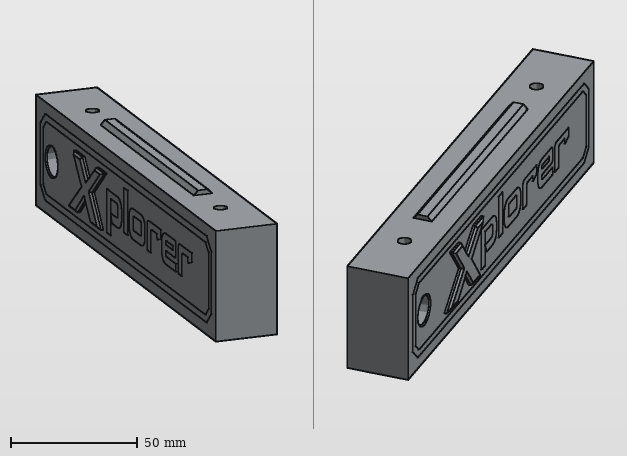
import cadquery as cq
import math

LENGTH = 193.3
DEPTH = 26.0
HEIGHT = 46.0

RAIL_LENGTH = 100.0
RAIL_BASE = 8.0
RAIL_CREST = 4.3
RAIL_RISE = 2.0

CROSS_HOLE_DIAMETER = 12.2
CROSS_HOLE_CHAMFER = 0.5
CROSS_HOLE_X = 16.8
SCREW_HOLE_DIAMETER = 5.5
SCREW_HOLE_SPACING = 137.5

MID_DEPTH = DEPTH / 2
MID_HEIGHT = HEIGHT / 2

POCKET_DEPTH = 5.0
POCKET_MARGIN = 5.0
POCKET_CORNER = 5.0
FRAME_WIDTH = 2.9

X_PROUD = 2.0
X_CHAMFER = 1.0
CAPITAL_LINE = 35.5
X_LOWER_CROTCH = 19.3
X_WAIST = 23.8
X_UPPER_CROTCH = 28.0

INLAY_DEPTH = 2.0
DESCENDER_LINE = 11.0
BASELINE = 16.5
X_HEIGHT_LINE = 29.2
ASCENDER_LINE = 35.0
COUNTER_FOOT = 20.3
COUNTER_TOP = 26.3
STEM = 4.0
BOWL_RADIUS = 4.3
COUNTER_RADIUS = 0.8

P_LEFT = 76.4
P_WIDTH = 15.7
P_COUNTER_RADIUS = 1.4
P_BOWL_JOINT = 19.7
P_BOWL_SLANT = 1.4

L_LEFT = 94.3

O_LEFT = 100.1
O_WIDTH = 17.0
O_LEFT_STROKE = 4.5

R_LEFTS = [119.5, 152.7]
R_WIDTH = 14.5
R_SHOULDER_RADIUS = 2.0
R_ARMPIT_RADIUS = 1.0
R_TIP_WIDTH = 3.9
R_TIP_SPLAY = 0.2
R_TIP_FOOT = 23.8
R_TIP_RIGHT_FOOT = 25.3

E_LEFT = 135.1
E_WIDTH = 15.3
E_CORNER_RADIUS = 1.2
E_ARM_TOP = 19.7
E_BAR_FOOT = 22.0
E_BAR_TOP = 24.5
E_COUNTER_WIDTH = 8.0


def front_plane(y):
    """Workplane parallel to the front face at depth y; it extrudes toward -Y."""
    return cq.Workplane("XZ", origin=(0, y, 0))


def rounded_outline(plane, corners):
    """Closed outline through (x, z, radius) corners, each rounded by a tangent arc."""
    sketch = None
    count = len(corners)
    for i, (x, z, radius) in enumerate(corners):
        corner = cq.Vector(x, z)
        before = cq.Vector(*corners[i - 1][:2]) - corner
        after = cq.Vector(*corners[(i + 1) % count][:2]) - corner
        before = before.normalized()
        after = after.normalized()
        half_angle = before.getAngle(after) / 2
        setback = radius / math.tan(half_angle)
        start = corner + before * setback
        sketch = plane.moveTo(start.x, start.y) if sketch is None else sketch.lineTo(start.x, start.y)
        if radius > 0:
            to_middle = radius / math.sin(half_angle) - radius
            middle = corner + (before + after).normalized() * to_middle
            end = corner + after * setback
            sketch = sketch.threePointArc((middle.x, middle.y), (end.x, end.y))
    return sketch.close()


def inlay(corners):
    """Solid of an outline, from the inlay floor to the front face."""
    return rounded_outline(front_plane(INLAY_DEPTH), corners).extrude(INLAY_DEPTH)


def rectangle(left, foot, right, top, right_radius=0.0, left_radius=0.0):
    """Corners of a rectangle, with one radius for its right corners and one for its left."""
    return [
        (left, foot, left_radius),
        (right, foot, right_radius),
        (right, top, right_radius),
        (left, top, left_radius),
    ]


def make_octagon(inset):
    """Eight-sided slab whose sides lie a given inset inside the pocket outline."""
    margin = POCKET_MARGIN + inset
    corner = POCKET_CORNER - inset * (2 - math.sqrt(2))
    slab = cq.Workplane("XY").box(
        LENGTH - 2 * margin, POCKET_DEPTH, HEIGHT - 2 * margin, centered=(True, False, True)
    )
    return slab.edges("|Y").chamfer(corner).translate((LENGTH / 2, 0, MID_HEIGHT))


def make_cross_hole():
    return front_plane(DEPTH).center(CROSS_HOLE_X, MID_HEIGHT).circle(CROSS_HOLE_DIAMETER / 2).extrude(DEPTH)


def make_frame():
    return make_octagon(0).cut(make_octagon(FRAME_WIDTH))


def make_raised_x():
    """Slanted X standing on the front face, its front edges chamfered."""
    corners = [
        (37.7, DESCENDER_LINE),
        (47.5, DESCENDER_LINE),
        (56.5, X_LOWER_CROTCH),
        (63.0, DESCENDER_LINE),
        (72.5, DESCENDER_LINE),
        (62.8, X_WAIST),
        (76.2, CAPITAL_LINE),
        (67.5, CAPITAL_LINE),
        (58.4, X_UPPER_CROTCH),
        (52.5, CAPITAL_LINE),
        (43.3, CAPITAL_LINE),
        (52.5, X_WAIST),
    ]
    letter = front_plane(0).polyline(corners).close().extrude(X_PROUD)
    return letter.faces("<Y").edges().chamfer(X_CHAMFER)


def make_p():
    right = P_LEFT + P_WIDTH
    stem_right = P_LEFT + STEM
    letter = inlay([
        (P_LEFT, DESCENDER_LINE, 0),
        (stem_right, DESCENDER_LINE, 0),
        (stem_right, P_BOWL_JOINT, 0),
        (stem_right + P_BOWL_SLANT, BASELINE, 0),
        (right, BASELINE, BOWL_RADIUS),
        (right, X_HEIGHT_LINE, BOWL_RADIUS),
        (P_LEFT, X_HEIGHT_LINE, 0),
    ])
    return letter.cut(inlay(rectangle(stem_right, COUNTER_FOOT, right - STEM, COUNTER_TOP, P_COUNTER_RADIUS)))


def make_l():
    return inlay(rectangle(L_LEFT, BASELINE, L_LEFT + STEM, ASCENDER_LINE))


def make_o():
    right = O_LEFT + O_WIDTH
    letter = inlay(rectangle(O_LEFT, BASELINE, right, X_HEIGHT_LINE, BOWL_RADIUS, BOWL_RADIUS))
    counter = rectangle(
        O_LEFT + O_LEFT_STROKE, COUNTER_FOOT, right - STEM, COUNTER_TOP, COUNTER_RADIUS, COUNTER_RADIUS
    )
    return letter.cut(inlay(counter))


def make_r(left):
    right = left + R_WIDTH
    tip_left = right - R_TIP_WIDTH
    stem_right = left + STEM
    return inlay([
        (left, BASELINE, 0),
        (stem_right, BASELINE, 0),
        (stem_right, COUNTER_TOP, R_ARMPIT_RADIUS),
        (tip_left - R_TIP_SPLAY, COUNTER_TOP, 0),
        (tip_left, R_TIP_FOOT, 0),
        (right, R_TIP_RIGHT_FOOT, 0),
        (right, X_HEIGHT_LINE, 0),
        (left, X_HEIGHT_LINE, R_SHOULDER_RADIUS),
    ])


def make_e():
    right = E_LEFT + E_WIDTH
    inner = E_LEFT + STEM
    letter = inlay([
        (E_LEFT, BASELINE, BOWL_RADIUS),
        (right, BASELINE, 0),
        (right, E_ARM_TOP, 0),
        (inner, E_ARM_TOP, COUNTER_RADIUS),
        (inner, E_BAR_FOOT, COUNTER_RADIUS),
        (right, E_BAR_FOOT, E_CORNER_RADIUS),
        (right, X_HEIGHT_LINE, E_CORNER_RADIUS),
        (E_LEFT, X_HEIGHT_LINE, BOWL_RADIUS),
    ])
    counter_right = inner + E_COUNTER_WIDTH
    return letter.cut(inlay(rectangle(inner, E_BAR_TOP, counter_right, COUNTER_TOP, 0, COUNTER_RADIUS)))


def make_rail():
    profile = [
        (MID_DEPTH - RAIL_BASE / 2, HEIGHT),
        (MID_DEPTH + RAIL_BASE / 2, HEIGHT),
        (MID_DEPTH + RAIL_CREST / 2, HEIGHT + RAIL_RISE),
        (MID_DEPTH - RAIL_CREST / 2, HEIGHT + RAIL_RISE),
    ]
    start = LENGTH / 2 - RAIL_LENGTH / 2
    return cq.Workplane("YZ", origin=(start, 0, 0)).polyline(profile).close().extrude(RAIL_LENGTH)


def make_housing():
    block = cq.Workplane("XY").box(LENGTH, DEPTH, HEIGHT, centered=False)
    housing = block.union(make_rail()).cut(make_octagon(0)).cut(make_cross_hole())
    for side in (-1, 1):
        x = LENGTH / 2 + side * SCREW_HOLE_SPACING / 2
        screw_hole = cq.Workplane("XY").center(x, MID_DEPTH).circle(SCREW_HOLE_DIAMETER / 2).extrude(HEIGHT)
        housing = housing.cut(screw_hole)
    return housing


def make_plate(letters):
    """Slab that fills the frame, with the raised X on it and a recess for each inlaid letter."""
    plate = make_octagon(FRAME_WIDTH).cut(make_cross_hole())
    plate = plate.faces("<Y").edges("%CIRCLE").chamfer(CROSS_HOLE_CHAMFER)
    for letter in letters:
        plate = plate.cut(letter)
    return plate.union(make_raised_x())


letters = [make_p(), make_l(), make_o(), make_e()]
for r_left in R_LEFTS:
    letters.append(make_r(r_left))
plate = make_plate(letters)
frame = make_frame()
housing = make_housing()
result = cq.Compound.makeCompound(
    [housing.val(), frame.val(), plate.val(), *[letter.val() for letter in letters]]
)